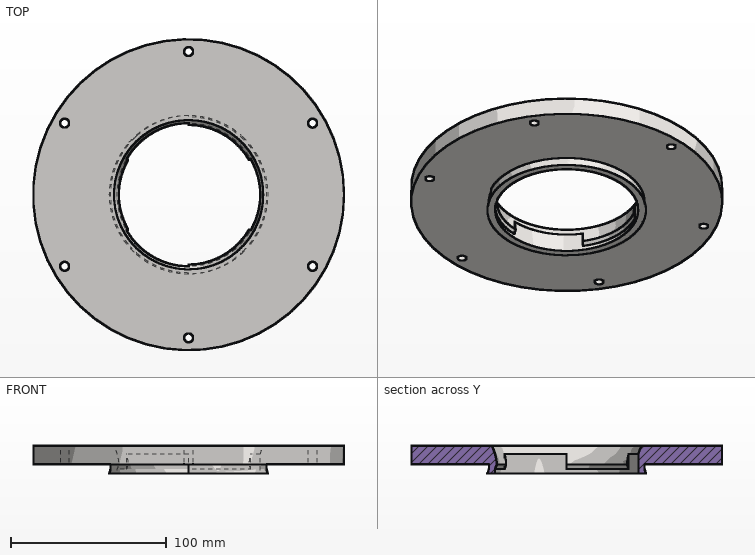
import cadquery as cq
import math

plate_diameter = 200.0
plate_thickness = 12.0
collar_height = 6.0
total_height = plate_thickness + collar_height

hole_diameter = 5.5
hole_circle_radius = 92.0
hole_count = 6

neck_radius = 50.2
lip_radius = 51.0
lip_height = 3.0
ramp_count = 2
ramp_sweep = 90.0
ramp_end_radius = neck_radius - 0.2

bore_radius = 46.0
mouth_radius = 48.0
tab_radius = 44.8
tab_bottom = lip_height
tab_crest = 6.0
mouth_bulge_radius = 45.8
mouth_bulge_height = 12.0
gap_cutter_margin = 2.0
tab_count = 3
tab_sweep = 60.0
first_tab_angle = 30.0


def polar(radius, angle):
    """Point at a radius and an angle in degrees."""
    return (radius * math.cos(math.radians(angle)), radius * math.sin(math.radians(angle)))


def make_plate():
    """Round plate sitting on top of the collar."""
    base = cq.Workplane("XY").workplane(offset=collar_height)
    return base.circle(plate_diameter / 2).extrude(plate_thickness)


def make_collar():
    """Cylindrical neck with a lip flaring outward at its foot."""
    return (
        cq.Workplane("XZ")
        .lineTo(lip_radius, 0)
        .lineTo(neck_radius, lip_height)
        .lineTo(neck_radius, collar_height)
        .lineTo(0, collar_height)
        .close()
        .revolve(360, (0, 0, 0), (0, 1, 0))
    )


def make_ramp(start_angle):
    """Cam sector whose wall starts at the lip radius and sinks just below the neck at its end."""
    middle_radius = (lip_radius + ramp_end_radius) / 2
    return (
        cq.Workplane("XY")
        .lineTo(*polar(lip_radius, start_angle))
        .threePointArc(
            polar(middle_radius, start_angle + ramp_sweep / 2),
            polar(ramp_end_radius, start_angle + ramp_sweep),
        )
        .close()
        .extrude(collar_height)
    )


def make_tab_bore():
    """Full-turn bore space as it is inside the tabs, undercut below their crest."""
    return (
        cq.Workplane("XZ")
        .lineTo(bore_radius, 0)
        .lineTo(bore_radius, tab_bottom)
        .lineTo(tab_radius, tab_crest)
        .threePointArc((mouth_bulge_radius, mouth_bulge_height), (mouth_radius, total_height))
        .lineTo(0, total_height)
        .close()
        .revolve(360, (0, 0, 0), (0, 1, 0))
    )


def make_gap_cutter(start_angle):
    """Ring sector that takes the tab material back to the plain bore between two tabs."""
    gap_sweep = 360 / tab_count - tab_sweep
    inner_radius = tab_radius - gap_cutter_margin
    return (
        cq.Workplane("XZ")
        .moveTo(inner_radius, tab_bottom)
        .lineTo(bore_radius, tab_bottom)
        .lineTo(bore_radius, total_height)
        .lineTo(inner_radius, total_height)
        .close()
        .revolve(gap_sweep, (0, 0, 0), (0, 1, 0))
        .rotate((0, 0, 0), (0, 0, 1), start_angle)
    )


body = make_plate().union(make_collar())
for index in range(ramp_count):
    body = body.union(make_ramp(90 + index * 360 / ramp_count))

body = body.cut(make_tab_bore())
for index in range(tab_count):
    body = body.cut(make_gap_cutter(first_tab_angle + tab_sweep + index * 360 / tab_count))

mounting_holes = (
    cq.Workplane("XY")
    .workplane(offset=collar_height)
    .polarArray(hole_circle_radius, 90, 360, hole_count)
    .circle(hole_diameter / 2)
    .extrude(plate_thickness)
)
result = body.cut(mounting_holes)